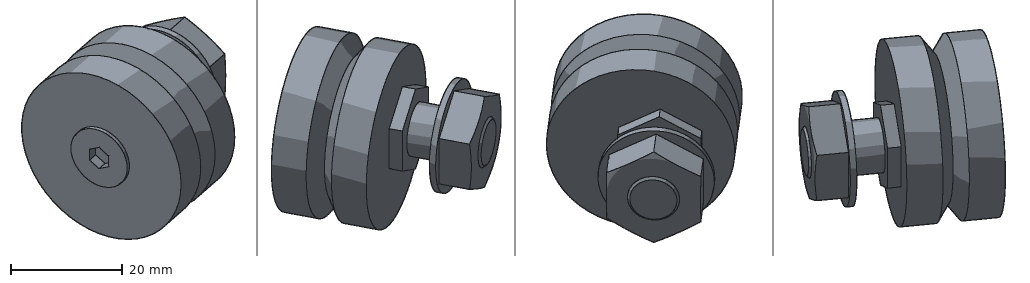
import cadquery as cq
import math


WHEEL_DIAMETER = 34.0
WHEEL_WIDTH = 18.0
GROOVE_WIDTH = 4.8
GROOVE_ROOT_DIAMETER = 27.5

HEAD_DIAMETER = 12.0
HEAD_HEIGHT = 0.75
SOCKET_ACROSS_FLATS = 4.0
SOCKET_DEPTH = 2.0

ECCENTRICITY = 3.55
ADJUSTER_ACROSS_FLATS = 15.0
ADJUSTER_HEIGHT = 2.5
STUD_DIAMETER = 10.0
STUD_CLEARANCE = 6.1
STUD_PROTRUSION = 0.45
STUD_CHAMFER = 0.75
WASHER_DIAMETER = 21.0
WASHER_THICKNESS = 1.2
NUT_ACROSS_FLATS = 17.0
NUT_HEIGHT = 6.1
NUT_CHAMFER_ANGLE = 15.0
NUT_FACE_DIAMETER = NUT_ACROSS_FLATS

WHEEL_FRONT = HEAD_HEIGHT
WHEEL_BACK = WHEEL_FRONT + WHEEL_WIDTH
ADJUSTER_BACK = WHEEL_BACK + ADJUSTER_HEIGHT
WASHER_FRONT = ADJUSTER_BACK + STUD_CLEARANCE
NUT_FRONT = WASHER_FRONT + WASHER_THICKNESS
NUT_BACK = NUT_FRONT + NUT_HEIGHT
STUD_END = NUT_BACK + STUD_PROTRUSION


def across_corners(across_flats):
    return across_flats / math.cos(math.radians(30))


def section_plane(x, y):
    """Plane across the Y direction whose normal is +Y."""
    return cq.Workplane(cq.Plane(origin=(x, y, 0), xDir=(0, 0, 1), normal=(0, 1, 0)))


def disc(x, y, diameter, length):
    return section_plane(x, y).circle(diameter / 2).extrude(length)


def hexagon(x, y, across_flats, length):
    """Hexagonal prism with corners pointing along +Z and -Z."""
    return section_plane(x, y).polygon(6, across_corners(across_flats)).extrude(length)


def make_wheel():
    rim = WHEEL_DIAMETER / 2
    root = GROOVE_ROOT_DIAMETER / 2
    groove_centre = WHEEL_FRONT + WHEEL_WIDTH / 2
    profile = [
        (0, WHEEL_FRONT),
        (rim, WHEEL_FRONT),
        (rim, groove_centre - GROOVE_WIDTH / 2),
        (root, groove_centre),
        (rim, groove_centre + GROOVE_WIDTH / 2),
        (rim, WHEEL_BACK),
        (0, WHEEL_BACK),
    ]
    return cq.Workplane("XY").polyline(profile).close().revolve(360, (0, 0), (0, 1))


def make_nut():
    """Hexagon nut with its outer corners cut back by a shallow cone."""
    corner_radius = across_corners(NUT_ACROSS_FLATS) / 2
    face_radius = NUT_FACE_DIAMETER / 2
    cone_height = (corner_radius - face_radius) * math.tan(math.radians(NUT_CHAMFER_ANGLE))
    profile = [
        (0, NUT_FRONT),
        (corner_radius, NUT_FRONT),
        (corner_radius, NUT_BACK - cone_height),
        (face_radius, NUT_BACK),
        (0, NUT_BACK),
    ]
    envelope = cq.Workplane("XY").polyline(profile).close().revolve(360, (0, 0), (0, 1))
    envelope = envelope.translate((-ECCENTRICITY, 0, 0))
    return hexagon(-ECCENTRICITY, NUT_FRONT, NUT_ACROSS_FLATS, NUT_HEIGHT).intersect(envelope)


def make_stud():
    stud = disc(-ECCENTRICITY, ADJUSTER_BACK, STUD_DIAMETER, STUD_END - ADJUSTER_BACK)
    return stud.faces(">Y").chamfer(STUD_CHAMFER)


head = disc(0, 0, HEAD_DIAMETER, HEAD_HEIGHT)
adjuster = hexagon(-ECCENTRICITY, WHEEL_BACK, ADJUSTER_ACROSS_FLATS, ADJUSTER_HEIGHT)
washer = disc(-ECCENTRICITY, WASHER_FRONT, WASHER_DIAMETER, WASHER_THICKNESS)
socket = hexagon(0, 0, SOCKET_ACROSS_FLATS, SOCKET_DEPTH)

body = make_wheel().union(head).union(adjuster).union(make_stud()).union(washer).union(make_nut())
result = body.cut(socket)